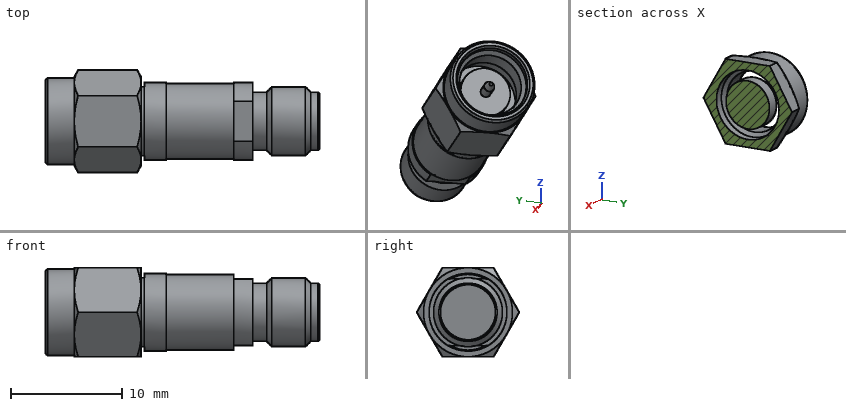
import cadquery as cq
import math


NUT_FRONT = 2.6
NUT_BACK = 8.6
COLLAR_START = 8.9
COLLAR_END = 10.85
FLATS_START = 16.95
FLATS_END = 18.65
THREAD_START = 19.88
THREAD_END = 23.85
TOTAL_LENGTH = 24.65

SLEEVE_RADIUS = 3.9
NECK_RADIUS = 3.12
COLLAR_RADIUS = 3.5
BODY_RADIUS = 3.4
JACK_RADIUS = 2.62
THREAD_RADIUS = 3.1

SLEEVE_CHAMFER = 0.2
THREAD_CHAMFER = THREAD_RADIUS - JACK_RADIUS
JACK_CHAMFER = 0.15

NUT_ACROSS_FLATS = 8.0
NUT_ACROSS_CORNERS = NUT_ACROSS_FLATS / math.cos(math.pi / 6)
NUT_CHAMFER_LENGTH = 0.35
WRENCH_ACROSS_FLATS = 6.0

MOUTH_RADIUS = 3.4
BORE_RADIUS = 3.22
MOUTH_CHAMFER = MOUTH_RADIUS - BORE_RADIUS
BORE_DEPTH = 0.7
THREAD_BORE_RADIUS = 2.85
THREAD_BORE_START = BORE_DEPTH + BORE_RADIUS - THREAD_BORE_RADIUS
THREAD_BORE_END = 3.0
RELIEF_RADIUS = BORE_RADIUS
RELIEF_START = THREAD_BORE_END + RELIEF_RADIUS - THREAD_BORE_RADIUS
RELIEF_END = 5.0

CONTACT_FACE_RADIUS = 2.28
CONTACT_FACE_X = 2.95

PIN_RADIUS = 0.47
PIN_TIP_RADIUS = 0.15
PIN_TIP_X = 0.8
PIN_CONE_LENGTH = 0.67


def revolve_about_x(points):
    """Solid of revolution about X from an (x, radius) outline."""
    return cq.Workplane("XY").polyline(points).close().revolve(360, (0, 0, 0), (1, 0, 0))


def cylinder(start, end, radius):
    """Round bar about X between two stations."""
    return cq.Workplane("YZ").workplane(offset=start).circle(radius).extrude(end - start)


def coupling_nut():
    """Hexagon with its corners turned down to the flats at both ends."""
    corner_radius = NUT_ACROSS_CORNERS / 2
    flat_radius = NUT_ACROSS_FLATS / 2
    hexagon = (
        cq.Workplane("YZ").workplane(offset=NUT_FRONT)
        .polygon(6, NUT_ACROSS_CORNERS).extrude(NUT_BACK - NUT_FRONT)
    )
    corner_envelope = revolve_about_x([
        (NUT_FRONT, 0),
        (NUT_FRONT, flat_radius),
        (NUT_FRONT + NUT_CHAMFER_LENGTH, corner_radius),
        (NUT_BACK - NUT_CHAMFER_LENGTH, corner_radius),
        (NUT_BACK, flat_radius),
        (NUT_BACK, 0),
    ])
    return hexagon.intersect(corner_envelope)


def plug_sleeve():
    return cylinder(0, NUT_BACK, SLEEVE_RADIUS).faces("<X").chamfer(SLEEVE_CHAMFER)


def body():
    neck = cylinder(NUT_BACK, COLLAR_START, NECK_RADIUS)
    collar = cylinder(COLLAR_START, COLLAR_END, COLLAR_RADIUS)
    barrel = cylinder(COLLAR_END, FLATS_START, BODY_RADIUS)
    return neck.union(collar).union(barrel)


def wrench_section():
    length = FLATS_END - FLATS_START
    slab = cq.Workplane("XY").box(length, 2 * COLLAR_RADIUS, WRENCH_ACROSS_FLATS)
    slab = slab.translate((FLATS_START + length / 2, 0, 0))
    return cylinder(FLATS_START, FLATS_END, COLLAR_RADIUS).intersect(slab)


def jack():
    core = cylinder(FLATS_END, TOTAL_LENGTH, JACK_RADIUS).faces(">X").chamfer(JACK_CHAMFER)
    thread = cylinder(THREAD_START, THREAD_END, THREAD_RADIUS)
    thread = thread.faces("<X or >X").chamfer(THREAD_CHAMFER)
    return core.union(thread)


def socket():
    """Void inside the coupling nut, leaving the contact face boss standing."""
    return revolve_about_x([
        (0, 0),
        (0, MOUTH_RADIUS),
        (MOUTH_CHAMFER, BORE_RADIUS),
        (BORE_DEPTH, BORE_RADIUS),
        (THREAD_BORE_START, THREAD_BORE_RADIUS),
        (THREAD_BORE_END, THREAD_BORE_RADIUS),
        (RELIEF_START, RELIEF_RADIUS),
        (RELIEF_END, RELIEF_RADIUS),
        (RELIEF_END, CONTACT_FACE_RADIUS),
        (CONTACT_FACE_X, CONTACT_FACE_RADIUS),
        (CONTACT_FACE_X, 0),
    ])


def contact_pin():
    return revolve_about_x([
        (PIN_TIP_X, 0),
        (PIN_TIP_X, PIN_TIP_RADIUS),
        (PIN_TIP_X + PIN_CONE_LENGTH, PIN_RADIUS),
        (CONTACT_FACE_X, PIN_RADIUS),
        (CONTACT_FACE_X, 0),
    ])


outside = plug_sleeve().union(coupling_nut()).union(body()).union(wrench_section()).union(jack())
result = outside.cut(socket()).union(contact_pin())